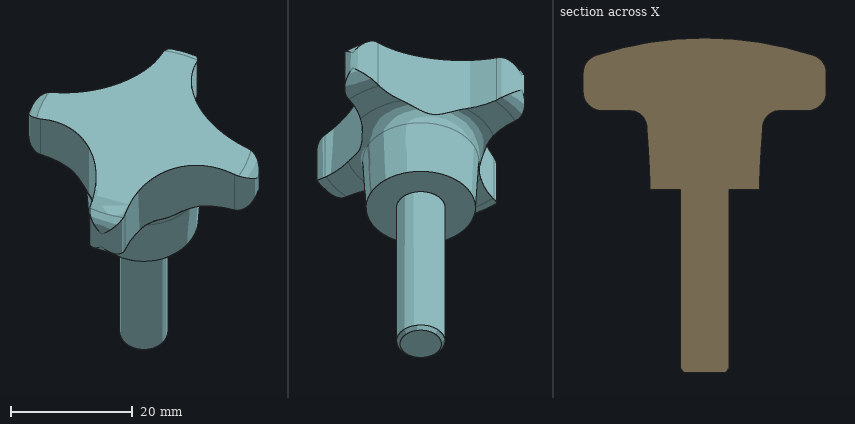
import cadquery as cq
import math

arm_count = 4
grip_diameter = 40.0
arm_width = 6.0
arm_end_radius = arm_width / 2
arm_center = grip_diameter / 2 - arm_end_radius
scallop_radius = arm_center - arm_end_radius
rim_round = 3.0

head_bottom = 13.0
crown_height = 25.0
dome_radius = 58.0

hub_bottom_diameter = 18.0
hub_top_diameter = 19.1
hub_top = 10.2
hub_flare_radius = head_bottom - hub_top

stud_diameter = 8.0
stud_length = 30.0
stud_chamfer = 0.6


def make_turned_head():
    """Hub, flare, rounded rim and domed crown as one revolved body."""
    outer = grip_diameter / 2
    hub_radius = hub_top_diameter / 2
    rim_center = outer - rim_round
    diagonal = math.sqrt(0.5)

    dome_center = crown_height - dome_radius
    inner_reach = dome_radius - rim_round
    upper_center = dome_center + math.sqrt(inner_reach**2 - rim_center**2)
    lean = math.asin(rim_center / inner_reach)
    half_rim_angle = (math.pi / 2 + lean) / 2

    def on_dome(angle):
        return dome_radius * math.sin(angle), dome_center + dome_radius * math.cos(angle)

    profile = (
        cq.Workplane("XZ")
        .moveTo(0, 0)
        .lineTo(hub_bottom_diameter / 2, 0)
        .lineTo(hub_radius, hub_top)
        .threePointArc(
            (hub_radius + hub_flare_radius * (1 - diagonal), hub_top + hub_flare_radius * diagonal),
            (hub_radius + hub_flare_radius, head_bottom),
        )
        .lineTo(rim_center, head_bottom)
        .threePointArc(
            (rim_center + rim_round * diagonal, head_bottom + rim_round * (1 - diagonal)),
            (outer, head_bottom + rim_round),
        )
        .lineTo(outer, upper_center)
        .threePointArc(
            (
                rim_center + rim_round * math.sin(half_rim_angle),
                upper_center + rim_round * math.cos(half_rim_angle),
            ),
            on_dome(lean),
        )
        .threePointArc(on_dome(lean / 2), (0, crown_height))
        .close()
    )
    return profile.revolve(360, (0, 0, 0), (0, 1, 0))


def turn_about_axis(x, y, angle):
    """Rotate a plan point about the Z axis."""
    return (
        x * math.cos(angle) - y * math.sin(angle),
        x * math.sin(angle) + y * math.cos(angle),
    )


def make_star():
    """Star-shaped prism that trims the turned head into arms."""
    scallop_middle = arm_center - scallop_radius * math.sqrt(0.5)
    outline = cq.Workplane("XY").moveTo(arm_center, -arm_end_radius)
    for arm in range(arm_count):
        turn = 2 * math.pi * arm / arm_count
        outline = outline.threePointArc(
            turn_about_axis(arm_center + arm_end_radius, 0, turn),
            turn_about_axis(arm_center, arm_end_radius, turn),
        )
        outline = outline.threePointArc(
            turn_about_axis(scallop_middle, scallop_middle, turn),
            turn_about_axis(arm_end_radius, arm_center, turn),
        )
    return outline.close().extrude(crown_height)


def make_stud():
    """Plain stud below the hub with a chamfered tip."""
    return (
        cq.Workplane("XY")
        .circle(stud_diameter / 2)
        .extrude(-stud_length)
        .faces("<Z")
        .chamfer(stud_chamfer)
    )


result = make_turned_head().intersect(make_star()).union(make_stud())